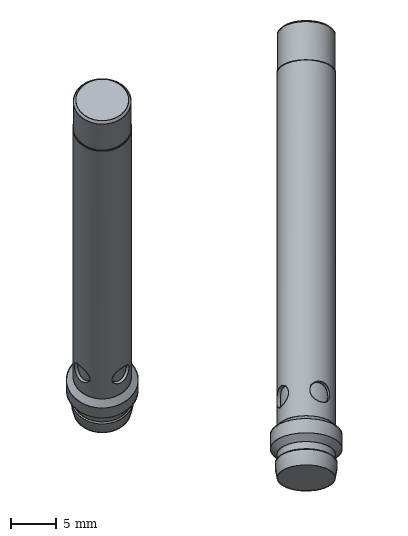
import cadquery as cq

TOTAL_LENGTH = 55.0
TUBE_RADIUS = 3.25
COLLAR_RADIUS = 3.95

TAIL_END_RADIUS = 3.2
BARB_RADIUS = 3.4
BARB_BULGE = 0.05
BARB_BOTTOM_Z = 1.5
BARB_TOP_Z = 1.8
BARB_CONE_TOP_Z = BARB_TOP_Z + BARB_RADIUS - TUBE_RADIUS

COLLAR_BOTTOM_Z = 2.85
COLLAR_TOP_Z = 6.05
SHOULDER_HEIGHT = COLLAR_RADIUS - TUBE_RADIUS

WALL = 0.4
BORE_RADIUS = TUBE_RADIUS - WALL
BORE_BOTTOM_Z = COLLAR_TOP_Z
WINDOW_RADIUS = 1.25
WINDOW_Z = 9.25
WINDOW_COUNT = 4

CAP_RADIUS = 3.2
CAP_HEIGHT = 5.0
CAP_CHAMFER = 0.3
PLUG_DEPTH = 1.55
PLUG_RADIUS = 3.1
TUBE_TOP_Z = TOTAL_LENGTH - CAP_HEIGHT
CORE_TOP_Z = TUBE_TOP_Z - PLUG_DEPTH


def cylinder(radius, bottom_z, top_z):
    """Upright cylinder on the Z axis between two heights."""
    return cq.Workplane("XY").workplane(offset=bottom_z).circle(radius).extrude(top_z - bottom_z)


def make_housing_blank():
    """Solid of revolution with the barbed tail, the collar and the tube."""
    flank_middle = (
        (TAIL_END_RADIUS + BARB_RADIUS) / 2 + BARB_BULGE,
        BARB_BOTTOM_Z / 2,
    )
    return (
        cq.Workplane("XZ")
        .lineTo(TAIL_END_RADIUS, 0)
        .threePointArc(flank_middle, (BARB_RADIUS, BARB_BOTTOM_Z))
        .lineTo(BARB_RADIUS, BARB_TOP_Z)
        .lineTo(TUBE_RADIUS, BARB_CONE_TOP_Z)
        .lineTo(TUBE_RADIUS, COLLAR_BOTTOM_Z)
        .lineTo(COLLAR_RADIUS, COLLAR_BOTTOM_Z + SHOULDER_HEIGHT)
        .lineTo(COLLAR_RADIUS, COLLAR_TOP_Z - SHOULDER_HEIGHT)
        .lineTo(TUBE_RADIUS, COLLAR_TOP_Z)
        .lineTo(TUBE_RADIUS, TUBE_TOP_Z)
        .lineTo(0, TUBE_TOP_Z)
        .close()
        .revolve(360, (0, 0, 0), (0, 1, 0))
    )


def make_housing():
    """Thin-walled housing, bored from the top, with a plug recess and round windows."""
    bore = cylinder(BORE_RADIUS, BORE_BOTTOM_Z, TUBE_TOP_Z)
    plug_recess = cylinder(PLUG_RADIUS, CORE_TOP_Z, TUBE_TOP_Z)
    housing = make_housing_blank().cut(bore).cut(plug_recess)
    window = (
        cq.Workplane("YZ")
        .center(0, WINDOW_Z)
        .circle(WINDOW_RADIUS)
        .extrude(COLLAR_RADIUS)
    )
    for index in range(WINDOW_COUNT):
        angle = index * 360 / WINDOW_COUNT
        housing = housing.cut(window.rotate((0, 0, 0), (0, 0, 1), angle))
    return housing


def make_core():
    """Rod that fills the bore below the plug of the cap."""
    return cylinder(BORE_RADIUS, BORE_BOTTOM_Z, CORE_TOP_Z)


def make_cap():
    """Chamfered cap on the end of the tube, with its plug in the recess."""
    head = cylinder(CAP_RADIUS, TUBE_TOP_Z, TOTAL_LENGTH).faces(">Z").chamfer(CAP_CHAMFER)
    plug = cylinder(PLUG_RADIUS, CORE_TOP_Z, TUBE_TOP_Z)
    return head.union(plug)


housing = make_housing()
core = make_core()
cap = make_cap()

result = cq.Compound.makeCompound([housing.val(), core.val(), cap.val()])